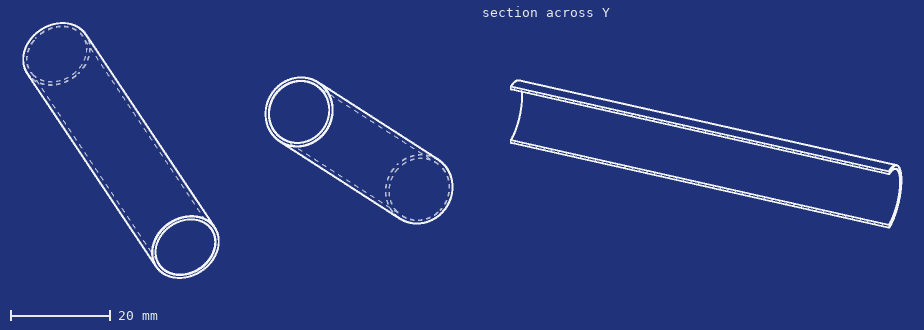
import cadquery as cq

length = 81.25
outer_diameter = 14.2
bore_diameter = 12.6
rim_chamfer = 0.1

tube = (
    cq.Workplane("YZ")
    .circle(outer_diameter / 2)
    .circle(bore_diameter / 2)
    .extrude(length)
)

end_rims = tube.faces("<X or >X").edges()
result = end_rims.chamfer(rim_chamfer)